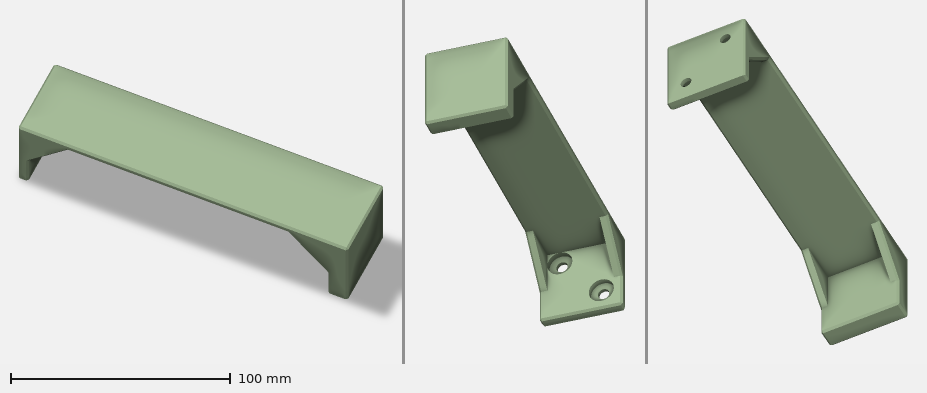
import cadquery as cq

length = 165.2
width = 40.0
height = 40.0

left_wall = 5.1
right_wall = 10.0
top_wall = 4.0
gusset = 20.0
gusset_thickness = top_wall

edge_chamfer = 1.0

screw_diameter = 5.5
head_diameter = 12.0
head_seat = 2.0
hole_offset = 10.0
hole_positions = [(-hole_offset, hole_offset), (hole_offset, -hole_offset)]


def bridge():
    """Wide portal with unequal legs and solid 45 degree gussets in both inner corners."""
    inner_right = length - right_wall
    ceiling = height - top_wall
    gusset_foot = ceiling - gusset
    outline = [
        (0, 0),
        (left_wall, 0),
        (left_wall, gusset_foot),
        (left_wall + gusset, ceiling),
        (inner_right - gusset, ceiling),
        (inner_right, gusset_foot),
        (inner_right, 0),
        (length, 0),
        (length, height),
        (0, height),
    ]
    return cq.Workplane("XZ").polyline(outline).close().extrude(width / 2, both=True)


def break_edges(body):
    """Chamfer both side outlines and the outer cross edges, except the left foot's outer edge."""
    side_edges = body.faces("<Y or >Y").edges().vals()
    cross_edges = body.edges("|Y").edges(">Z or <Z")
    left_foot_edge = cross_edges.edges("<Z").edges("<X").val()
    cross_edges = [edge for edge in cross_edges.vals() if not edge.isSame(left_foot_edge)]
    return body.newObject(side_edges + cross_edges).chamfer(edge_chamfer)


def gusset_gap():
    """Block of empty space between the side gussets, bounded by the inner faces of the walls."""
    span = length - left_wall - right_wall
    return cq.Workplane("XY").box(
        span, width - 2 * gusset_thickness, height - top_wall, centered=(False, True, False)
    ).translate((left_wall, 0, 0))


def screw_cutter(y, z):
    """Screw hole through the left wall, counterbored from the wall's inner face."""
    plane = cq.Workplane("YZ").center(y, z)
    shank = plane.circle(screw_diameter / 2).extrude(left_wall)
    head = plane.workplane(offset=head_seat).circle(head_diameter / 2).extrude(left_wall - head_seat)
    return shank.union(head)


result = break_edges(bridge()).cut(gusset_gap())
for y, z in hole_positions:
    result = result.cut(screw_cutter(y, height / 2 + z))